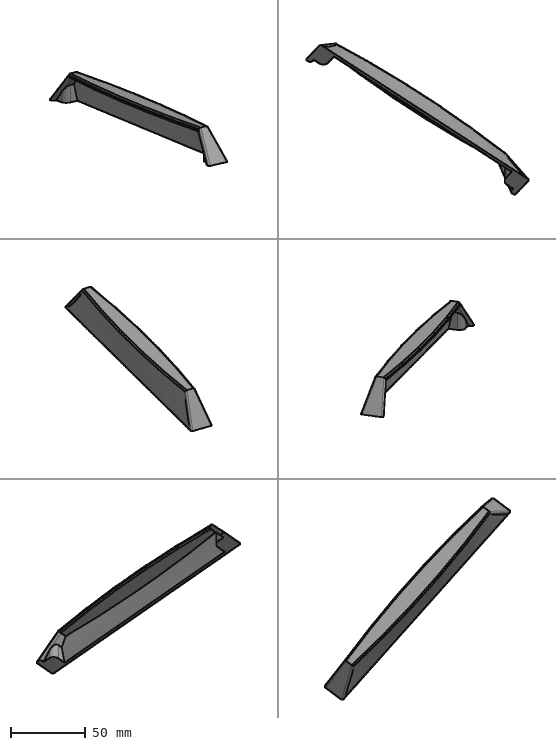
import cadquery as cq
import math

LENGTH = 179.1
HEIGHT = 22.0
FOOT_WIDTH = 16.0

TOP_LENGTH = 145.8
BEND_WIDTH = 7.2
MIDDLE_WIDTH = 13.8
THICKNESS = 3.2
EDGE_RADIUS = 1.0

WEB_THICKNESS = 2.1
BOSS_INNER_X = 76.1
BOSS_FRONT_Y = -4.7
BOSS_RADIUS = 4.3

half_length = LENGTH / 2
half_top = TOP_LENGTH / 2
half_foot = FOOT_WIDTH / 2
half_bend = BEND_WIDTH / 2
half_middle = MIDDLE_WIDTH / 2

leg_run = half_length - half_top
leg_length = math.hypot(leg_run, HEIGHT)
leg_angle = math.degrees(math.atan2(HEIGHT, leg_run))


def bow_drop(distance):
    """How far the bowed side of the strip falls back at a distance from the middle."""
    rise = half_middle - half_bend
    bow_radius = (half_top ** 2 + rise ** 2) / (2 * rise)
    return bow_radius - math.sqrt(bow_radius ** 2 - distance ** 2)


def side_profile(inset):
    """Trapezoid prism across Y, its top and slopes set in by the given distance."""
    slope_shift = inset / math.sin(math.radians(leg_angle))
    top_z = HEIGHT - inset
    foot_x = half_length - slope_shift
    top_x = foot_x - top_z * leg_run / HEIGHT
    return (
        cq.Workplane("XZ")
        .polyline([(-foot_x, 0), (foot_x, 0), (top_x, top_z), (-top_x, top_z)])
        .close()
        .extrude(FOOT_WIDTH, both=True)
    )


def mitred_leg_space():
    """Space to the left of the plane that halves the bend between leg and strip."""
    reach = LENGTH
    mitre_angle = math.radians(leg_angle / 2)
    mitre_x = -half_top + reach * math.sin(mitre_angle)
    mitre_z = HEIGHT - reach * math.cos(mitre_angle)
    return (
        cq.Workplane("XZ")
        .polyline([(-half_top, HEIGHT), (mitre_x, mitre_z), (-LENGTH, mitre_z), (-LENGTH, HEIGHT)])
        .close()
        .extrude(FOOT_WIDTH, both=True)
    )


def make_strip():
    """Grip strip with both long sides bowed outwards."""
    return (
        cq.Workplane("XY")
        .workplane(offset=HEIGHT - THICKNESS)
        .moveTo(-half_top, -half_bend)
        .threePointArc((0, -half_middle), (half_top, -half_bend))
        .lineTo(half_top, half_bend)
        .threePointArc((0, half_middle), (-half_top, half_bend))
        .close()
        .extrude(THICKNESS)
        .edges("%CIRCLE")
        .fillet(EDGE_RADIUS)
    )


def make_leg():
    """Left leg: a flaring plate laid flat, rounded, then tilted up to the strip."""
    overrun = 2 * THICKNESS
    rounding_end = EDGE_RADIUS / math.tan(math.radians(leg_angle))
    flare = (half_foot - half_bend) / (leg_length - rounding_end)
    end_half = half_bend + flare * (leg_length + overrun)
    return (
        cq.Workplane("XY")
        .polyline([
            (-overrun, -end_half),
            (leg_length, -half_bend),
            (leg_length, half_bend),
            (-overrun, end_half),
        ])
        .close()
        .extrude(-THICKNESS)
        .edges("not(|Y or |Z)")
        .fillet(EDGE_RADIUS)
        .rotate((0, 0, 0), (0, 1, 0), -leg_angle)
        .translate((-half_length, 0, 0))
    )


def space_ahead_of_rear_face(setback):
    """Space in front of the rear face: straight at the base, bowed like the strip at the top."""
    front_y = -FOOT_WIDTH
    top_z = HEIGHT - EDGE_RADIUS
    base_y = half_foot - setback
    middle_y = half_middle - setback
    end_y = middle_y - bow_drop(half_length)
    base = (
        cq.Workplane("XY")
        .moveTo(-half_length, front_y)
        .lineTo(half_length, front_y)
        .lineTo(half_length, base_y)
        .lineTo(-half_length, base_y)
        .close()
    )
    top = (
        base.workplane(offset=top_z)
        .moveTo(-half_length, front_y)
        .lineTo(half_length, front_y)
        .lineTo(half_length, end_y)
        .threePointArc((0, middle_y), (-half_length, end_y))
        .close()
    )
    return top.loft(ruled=True)


def make_boss():
    """Left screw boss: an upright block under the leg with one rounded corner."""
    return (
        cq.Workplane("XY")
        .moveTo(-half_length, BOSS_FRONT_Y)
        .lineTo(-BOSS_INNER_X, BOSS_FRONT_Y)
        .lineTo(-BOSS_INNER_X, half_foot)
        .lineTo(-half_length, half_foot)
        .close()
        .extrude(HEIGHT)
        .edges("|Z and >X and <Y")
        .fillet(BOSS_RADIUS)
    )


left_space = mitred_leg_space()
right_space = left_space.mirror("YZ")
outer_profile = side_profile(0)
strip = make_strip().cut(left_space).cut(right_space)
left_leg = make_leg().intersect(left_space).intersect(outer_profile)
frame = strip.union(left_leg).union(left_leg.mirror("YZ"))

infill = space_ahead_of_rear_face(0).intersect(side_profile(EDGE_RADIUS))
web = infill.cut(space_ahead_of_rear_face(WEB_THICKNESS))
boss_cover = THICKNESS / 2
left_boss = make_boss().intersect(infill).intersect(side_profile(boss_cover))
result = frame.union(web).union(left_boss).union(left_boss.mirror("YZ"))